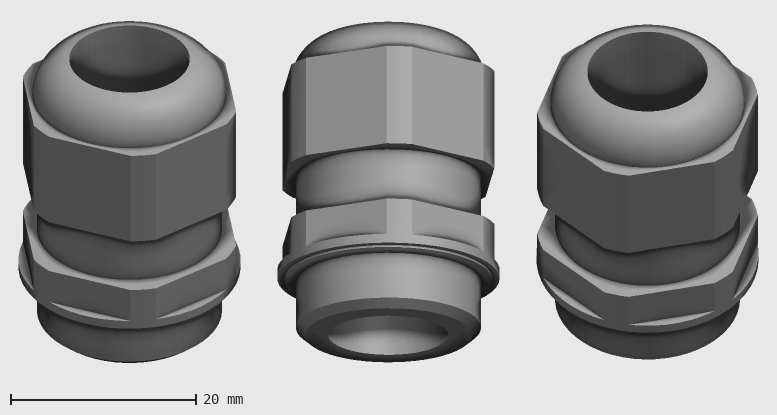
import cadquery as cq
import math

height = 33.45
seal_bottom = 6.0
flange_bottom = 6.45
flange_top = 7.45
lower_hex_top = 11.48
cap_hex_bottom = 17.8
cap_hex_top = 28.9

bore_diameter = 13.0
body_diameter = 20.0
seal_diameter = 22.5
seal_bottom_diameter = 21.7
flange_diameter = 24.0
dome_diameter = 21.0
hex_across_flats = 22.0

entry_chamfer_height = 0.87
entry_chamfer_inset = 1.0
seal_chamfer_height = 0.25
seal_chamfer_inset = (seal_diameter - seal_bottom_diameter) / 2

dome_inset = (dome_diameter - bore_diameter) / 2
dome_height = height - cap_hex_top
dome_radius = (dome_inset**2 + dome_height**2) / (2 * dome_inset)


def cylinder(diameter, bottom, top):
    return cq.Workplane("XY").workplane(offset=bottom).circle(diameter / 2).extrude(top - bottom)


def rounded_hex(bottom, top):
    """Hexagon with flats facing +Y and -Y and corners rounded to the flange diameter."""
    hexagon = (
        cq.Workplane("XY")
        .workplane(offset=bottom)
        .transformed(rotate=(0, 0, 30))
        .polygon(6, hex_across_flats, circumscribed=True)
        .extrude(top - bottom)
    )
    return hexagon.intersect(cylinder(flange_diameter, bottom, top))


body = (
    cylinder(body_diameter, 0, cap_hex_bottom)
    .faces("<Z")
    .chamfer(entry_chamfer_height, entry_chamfer_inset)
)

seal = (
    cylinder(seal_diameter, seal_bottom, flange_bottom)
    .faces("<Z")
    .chamfer(seal_chamfer_height, seal_chamfer_inset)
)
flange = cylinder(flange_diameter, flange_bottom, flange_top)
lower_hex = rounded_hex(flange_top, lower_hex_top)

cap_hex = rounded_hex(cap_hex_bottom, cap_hex_top)
dome_arc_angle = math.asin(dome_height / dome_radius)
dome_arc_centre = dome_diameter / 2 - dome_radius
dome_arc_middle = (
    dome_arc_centre + dome_radius * math.cos(dome_arc_angle / 2),
    cap_hex_top + dome_radius * math.sin(dome_arc_angle / 2),
)
dome = (
    cq.Workplane("XZ")
    .moveTo(0, cap_hex_top)
    .lineTo(dome_diameter / 2, cap_hex_top)
    .threePointArc(dome_arc_middle, (bore_diameter / 2, height))
    .lineTo(0, height)
    .close()
    .revolve(360, (0, 0, 0), (0, 1, 0))
)

bore = cylinder(bore_diameter, 0, height)

result = body.union(seal).union(flange).union(lower_hex).union(cap_hex).union(dome).cut(bore)